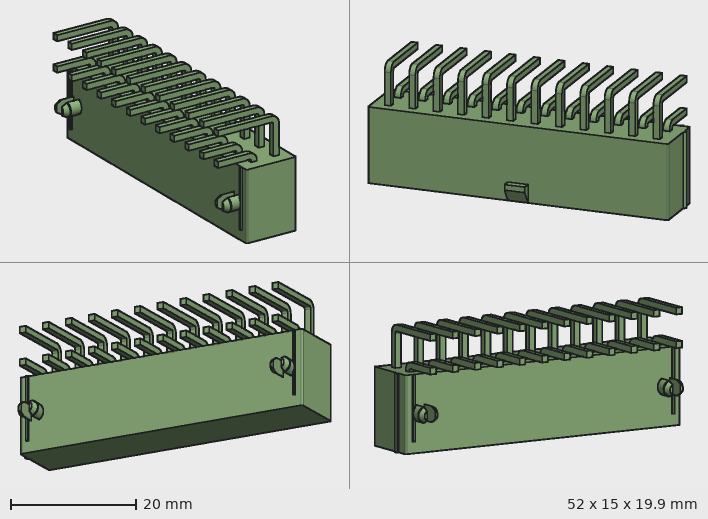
import cadquery as cq
import math

overall_length = 52
ridge_height = 0.35
body_length = overall_length - ridge_height
body_depth = 9.55
body_height = 12.85
corner_radius = 0.25
body_left = ridge_height
body_right = body_left + body_length
body_middle = (body_left + body_right) / 2

ridge_front = 2.15
ridge_crest = 2.45
ridge_back = 3.05

pin_count = 12
pin_row_length = 46.25
pin_pitch = pin_row_length / (pin_count - 1)
pin_size = 1.1
pin_inner_radius = 0.35
pin_tip_y = -4.0
pin_row_spacing = 4.25
front_leg_y = 2.9
front_row_rise = 1.6
back_leg_y = front_leg_y + pin_row_spacing
back_row_rise = 7.05

rib_width = 0.35
rib_height = 0.3
rib_inset = 1.25
rib_bottom = 2.0

post_inset = 2.75
post_z = 6.55
post_radius = 1.5
post_slot = 1.45
barb_start = 2.2
barb_lip = 0.15
post_length = 3.35
barb_radius = 1.3
barb_tip_radius = 0.8
barb_offset = 0.45

latch_width = 3.5
latch_reach = 1.4
latch_height = 3.1
latch_nose = 0.95


def box(x0, x1, y0, y1, z0, z1):
    """Axis-aligned box between two opposite corners."""
    return cq.Workplane("XY").box(x1 - x0, y1 - y0, z1 - z0, centered=False).translate((x0, y0, z0))


def make_body():
    body = box(body_left, body_right, 0, body_depth, 0, body_height)
    return body.edges("|Z").fillet(corner_radius)


def make_ridge():
    root = body_left + corner_radius
    radius = ((ridge_back - ridge_crest) ** 2 + ridge_height**2) / (2 * ridge_height)
    front_drop = radius - math.sqrt(radius**2 - (ridge_crest - ridge_front) ** 2)
    return (
        cq.Workplane("XY")
        .moveTo(root, ridge_back)
        .lineTo(body_left, ridge_back)
        .threePointArc((0, ridge_crest), (front_drop, ridge_front))
        .lineTo(root, ridge_front)
        .close()
        .extrude(body_height)
    )


def make_pin(x, leg_y, rise):
    """Square pin: up out of the housing, round the bend and out to the front."""
    back = leg_y + pin_size / 2
    front = leg_y - pin_size / 2
    top = body_height + rise
    arm_bottom = top - pin_size
    root = body_height - pin_size
    bend_y = front - pin_inner_radius
    bend_z = arm_bottom - pin_inner_radius
    diagonal = math.sqrt(0.5)
    outer_radius = pin_inner_radius + pin_size
    outer_mid = (bend_y + outer_radius * diagonal, bend_z + outer_radius * diagonal)
    inner_mid = (bend_y + pin_inner_radius * diagonal, bend_z + pin_inner_radius * diagonal)
    return (
        cq.Workplane("YZ", origin=(x, 0, 0))
        .moveTo(back, root)
        .lineTo(back, bend_z)
        .threePointArc(outer_mid, (bend_y, top))
        .lineTo(pin_tip_y, top)
        .lineTo(pin_tip_y, arm_bottom)
        .lineTo(bend_y, arm_bottom)
        .threePointArc(inner_mid, (front, bend_z))
        .lineTo(front, root)
        .close()
        .extrude(pin_size / 2, both=True)
    )


def front_circle(x, reach, radius):
    """Circle at post height, parallel to the front face and `reach` in front of it."""
    return cq.Workplane("XZ", origin=(x, -reach, post_z)).circle(radius)


def make_post(x):
    """Round post with two outward barbs, split in half by an upright slot."""
    post = front_circle(x, -corner_radius, post_radius).extrude(barb_start + corner_radius)
    taper_start = barb_start + barb_lip
    for side in (-1, 1):
        barb_x = x + side * barb_offset
        lip = front_circle(barb_x, barb_start, barb_radius).extrude(barb_lip)
        taper = (
            front_circle(barb_x, taper_start, barb_radius)
            .workplane(offset=post_length - taper_start)
            .circle(barb_tip_radius)
            .loft()
        )
        outer_x = barb_x + side * barb_radius
        outer_half = box(min(x, outer_x), max(x, outer_x), -post_length, 0, 0, body_height)
        post = post.union(lip.union(taper).intersect(outer_half))
    slot = box(x - post_slot / 2, x + post_slot / 2, -post_length, 0, 0, body_height)
    return post.cut(slot)


def make_latch():
    root = body_depth - corner_radius
    tip = body_depth + latch_reach
    return (
        cq.Workplane("YZ", origin=(body_middle, 0, 0))
        .polyline([
            (root, 0),
            (body_depth, 0),
            (tip, latch_height - latch_nose),
            (tip, latch_height),
            (root, latch_height),
        ])
        .close()
        .extrude(latch_width / 2, both=True)
    )


result = make_body().union(make_ridge()).union(make_latch())

first_pin_x = body_middle - pin_row_length / 2
for i in range(pin_count):
    pin_x = first_pin_x + i * pin_pitch
    result = result.union(make_pin(pin_x, front_leg_y, front_row_rise))
    result = result.union(make_pin(pin_x, back_leg_y, back_row_rise))

for rib_x in (body_left + rib_inset, body_right - rib_inset - rib_width):
    result = result.union(box(rib_x, rib_x + rib_width, -rib_height, corner_radius, rib_bottom, body_height))

for post_x in (body_left + post_inset, body_right - post_inset):
    result = result.union(make_post(post_x))